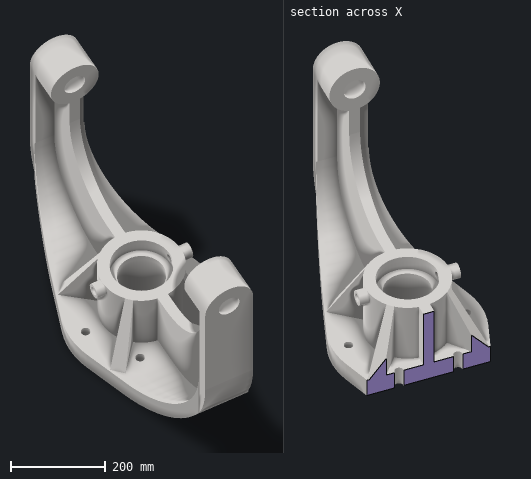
import math

import cadquery as cq

overall_length = 773.42
overall_height = 541.3

eye_radius = 58.0
eye_hole_radius = 25.0
eye_length = 92.5
arm_thickness = 25.0

base_nose_radius = 172.08
base_taper_angle = math.radians(18.47)
base_thickness = 44.6
outer_corner_radius = 229.0
inner_corner_radius = 197.0

web_thickness = 25.0
web_corner_radius = 169.0

hub_height = 188.8
hub_radius = 95.0
bore_radius = 52.5
counterbore_radius = 67.8
counterbore_depth = 34.0

pin_boss_radius = 17.1
pin_hole_radius = 9.8
pin_boss_reach = 116.0

bolt_hole_radius = 10.2
bolt_circle_radius = 135.3
bolt_count = 6
bolt_start_angle = 30

rib_angles = (45, 135, 225, 315)
rib_reach = 180.0
rib_end_width = 34.0

half_length = overall_length / 2
arm_inner_x = half_length - arm_thickness
eye_inner_x = half_length - eye_length
eye_z = overall_height - eye_radius
pin_z = hub_height - pin_boss_radius


def u_block(half_width, bottom, top, corner_radius, thickness):
    """Block with a U-shaped profile in XZ: straight sides, round lower corners, centred on Y."""
    return (
        cq.Workplane("XY")
        .box(2 * half_width, thickness, top - bottom, centered=(True, True, False))
        .translate((0, 0, bottom))
        .edges("|Y and <Z")
        .fillet(corner_radius)
    )


def make_base_plan():
    """Tall prism of the base plan: a round-nosed diamond plus the strip as wide as the arms."""
    tangent_x = base_nose_radius * math.sin(base_taper_angle)
    tangent_y = base_nose_radius * math.cos(base_taper_angle)
    end_y = tangent_y - (arm_inner_x - tangent_x) * math.tan(base_taper_angle)
    diamond = (
        cq.Workplane("XY")
        .moveTo(-arm_inner_x, -end_y)
        .lineTo(-tangent_x, -tangent_y)
        .threePointArc((0, -base_nose_radius), (tangent_x, -tangent_y))
        .lineTo(arm_inner_x, -end_y)
        .lineTo(arm_inner_x, end_y)
        .lineTo(tangent_x, tangent_y)
        .threePointArc((0, base_nose_radius), (-tangent_x, tangent_y))
        .lineTo(-arm_inner_x, end_y)
        .close()
        .extrude(eye_z)
    )
    arm_strip = cq.Workplane("XY").box(
        overall_length, 2 * eye_radius, eye_z, centered=(True, True, False)
    )
    return diamond.union(arm_strip)


def make_yoke():
    """Curved base and arms with the web standing on their inside."""
    full_width = 2 * base_nose_radius
    outside = u_block(half_length, 0, eye_z, outer_corner_radius, full_width)
    inside = u_block(arm_inner_x, base_thickness, overall_height, inner_corner_radius, full_width)
    shell = outside.cut(inside).intersect(make_base_plan())

    web_opening = u_block(eye_inner_x, hub_height, overall_height, web_corner_radius, full_width)
    web = u_block(half_length, 0, eye_z, outer_corner_radius, web_thickness).cut(web_opening)
    return shell.union(web)


def eye_cylinder(radius, start_x):
    """Cylinder along X through one eye, starting at the given X."""
    return cq.Workplane("YZ", origin=(start_x, 0, eye_z)).circle(radius).extrude(eye_length)


def make_rib(angle):
    """Buttress that widens away from the hub axis and slopes from the hub top to the base."""
    side_profile = (
        cq.Workplane("XZ")
        .moveTo(0, 0)
        .lineTo(rib_reach, 0)
        .lineTo(rib_reach, base_thickness)
        .lineTo(hub_radius, hub_height)
        .lineTo(0, hub_height)
        .close()
        .extrude(rib_end_width / 2, both=True)
    )
    plan_wedge = (
        cq.Workplane("XY")
        .moveTo(0, 0)
        .lineTo(rib_reach, -rib_end_width / 2)
        .lineTo(rib_reach, rib_end_width / 2)
        .close()
        .extrude(hub_height)
    )
    return side_profile.intersect(plan_wedge).rotate((0, 0, 0), (0, 0, 1), angle)


def pin_cylinder(radius):
    """Cylinder along Y through the hub at the pin height."""
    return (
        cq.Workplane("XZ", origin=(0, 0, pin_z))
        .circle(radius)
        .extrude(pin_boss_reach, both=True)
    )


def make_hub():
    hub = cq.Workplane("XY").circle(hub_radius).extrude(hub_height)
    for angle in rib_angles:
        hub = hub.union(make_rib(angle))
    return hub.union(pin_cylinder(pin_boss_radius))


def cut_hub_bore(body):
    bore = cq.Workplane("XY").circle(bore_radius).extrude(hub_height)
    counterbore = (
        cq.Workplane("XY", origin=(0, 0, hub_height - counterbore_depth))
        .circle(counterbore_radius)
        .extrude(counterbore_depth)
    )
    return body.cut(bore).cut(counterbore).cut(pin_cylinder(pin_hole_radius))


def cut_bolt_holes(body):
    holes = (
        cq.Workplane("XY")
        .polarArray(bolt_circle_radius, bolt_start_angle, 360, bolt_count)
        .circle(bolt_hole_radius)
        .extrude(base_thickness)
    )
    return body.cut(holes)


eye_starts = (-half_length, eye_inner_x)

body = make_yoke().union(make_hub())
for start_x in eye_starts:
    body = body.union(eye_cylinder(eye_radius, start_x))
for start_x in eye_starts:
    body = body.cut(eye_cylinder(eye_hole_radius, start_x))

result = cut_bolt_holes(cut_hub_bore(body))